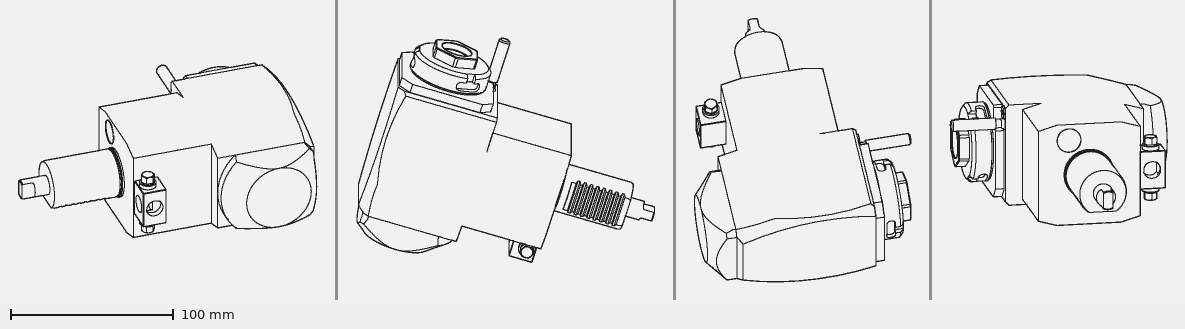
import cadquery as cq
import math


HALF_HEIGHT = 32.0
REAR_Y = 114.7
HEAD_FRONT_Y = 50.8
HEAD_LEFT_X = -42.3
HEAD_RIGHT_X = 44.0
HEAD_EDGE_CHAMFER = 2.1
STEM_LEFT_X = -31.7
STEM_RIGHT_X = 32.2
FLAT_HALF_WIDTH = 20.0
HOUSING_TAPER = 16.0
REAR_CORNER_X = 3.2
REAR_CORNER_Y = 3.9
REAR_CONE_RADIUS = 123.9
REAR_CONE_X = -10.6
REAR_CHAMFER_MIN = 2.1
SPINDLE_Y = 84.6

PLUG_X = -12.4
PLUG_Z = 21.8
PLUG_RADIUS = 7.5
PLUG_DEPTH = 0.5

CAP_RADIUS = 33.8
CAP_RIGHT_X = 61.5
CAP_CONE_LENGTH = 11.2
CAP_CONE_DROP = 12.7
CAP_REAR_Y = 110.8
CAP_FLAT_HALF_HEIGHT = 25.1
CAP_END_HALF_HEIGHT = 21.0
CAP_TAPER_X = 46.0

PLATE_LEFT_X = -47.8
PLATE_HALF_WIDTH = 29.4
PLATE_CORNER = 6.9
NUT_RADIUS = 24.5
NUT_LEFT_X = -61.0
NUT_CHAMFER = 2.1
NUT_NECK_RADIUS = 23.7
NUT_NECK_LENGTH = 1.0
HOOK_COUNT = 3
HOOK_SLOT_FLOOR = 20.7
HOOK_NOTCH_FLOOR = 21.8
HOOK_SLOT_WIDTH = 5.5
HOOK_SLOT_LENGTH = 17.0
HOOK_SLOT_X = -53.1
HOOK_NOTCH_WIDTH = 5.8
HEX_LEFT_X = -67.6
HEX_ACROSS_FLATS = 26.9
HEX_CORNER_RADIUS = 15.0
HEX_CHAMFER = 0.5
HEX_BORE_RADIUS = 9.4
HEX_BORE_DEPTH = 4.5
HEX_BORE_CHAMFER = 0.4

PIN_Y = 56.1
PIN_Z = 19.1
PIN_RADIUS = 3.5
PIN_LEFT_X = -75.4
PIN_CHAMFER = 0.9
PIN_NECK_RADIUS = 2.7
PIN_NECK_START_X = -47.8
PIN_NECK_END_X = -44.2
PIN_BASE_RADIUS = 4.0
PIN_SLOT_RADIUS = 4.6
SCREW_Z = 26.0
SCREW_RADIUS = 4.0
SCREW_HEIGHT = 0.9
SCREW_SOCKET = 3.2

SHANK_RADIUS = 15.0
SHANK_LENGTH = 45.1
SHANK_CHAMFER = 1.8
SHANK_CHAMFER_DEPTH = 0.5
COLLAR_RADIUS = 15.5
COLLAR_LENGTH = 1.6
COLLAR_CHAMFER = 0.5
GROOVE_RADIUS = 14.7
GROOVE_END = 2.5
RACK_FLAT_Z = -11.9
RACK_FLAT_START = 7.0
TOOTH_PITCH = 4.0
TOOTH_COUNT = 8
FIRST_TOOTH_GAP = 11.3
TOOTH_DEPTH = 1.5
TOOTH_GAP_MOUTH = 2.8
TOOTH_GAP_FLOOR = 1.2
SPIGOT_RADIUS = 6.0
SPIGOT_LENGTH = 9.5
TANG_LENGTH = 7.6
TANG_WIDTH = 5.8
TANG_CHAMFER = 0.5
TANG_FILLET = 1.2

BLOCK_RIGHT_X = 48.1
BLOCK_FRONT_Y = 0.9
BLOCK_REAR_Y = 16.0
BLOCK_HALF_HEIGHT = 12.0
BLOCK_CHAMFER = 0.4
BLOCK_BORE_X = 39.8
BLOCK_BORE_RADIUS = 5.3
SIDE_BORE_FLOOR_X = 44.0
BOLT_Y = 6.7
BOLT_COLLAR_RADIUS = 5.1
BOLT_COLLAR_HEIGHT = 2.5
BOLT_NECK_RADIUS = 4.0
BOLT_NECK_HEIGHT = 0.9
BOLT_HEX_ACROSS_CORNERS = 8.5
BOLT_END_CHAMFER = 0.7
BOLT_HEX_HEIGHT = 4.6

OVERLAP = 0.9


def box(x0, x1, y0, y1, z0, z1):
    """Box between the given limits."""
    return cq.Workplane("XY").box(x1 - x0, y1 - y0, z1 - z0, centered=False).translate((x0, y0, z0))


def cylinder_x(x0, x1, y, z, radius):
    """Cylinder parallel to X."""
    return cq.Workplane("YZ", origin=(x0, y, z)).circle(radius).extrude(x1 - x0)


def revolve_x(points, y, z=0):
    """Solid of revolution about an axis parallel to X, from (x, radius) points."""
    profile = cq.Workplane("XY", origin=(0, y, z)).polyline(points).close()
    return profile.revolve(360, (0, 0, 0), (1, 0, 0))


def mirror_points_z(points):
    """Closed outline from its upper (x, z) half."""
    return points + [(x, -z) for x, z in reversed(points)]


def prism_y(upper_points, y0, y1):
    """Prism along Y whose (x, z) outline is symmetric about Z = 0."""
    outline = cq.Workplane("XZ", origin=(0, y1, 0)).polyline(mirror_points_z(upper_points))
    return outline.close().extrude(y1 - y0)


def taper_height(x):
    """Half height of the housing where its upper and lower faces slope down."""
    return HALF_HEIGHT - (abs(x) - FLAT_HALF_WIDTH) * math.tan(math.radians(HOUSING_TAPER))


def make_housing():
    head = prism_y(
        [
            (HEAD_LEFT_X, HALF_HEIGHT - HEAD_EDGE_CHAMFER),
            (HEAD_LEFT_X + HEAD_EDGE_CHAMFER, HALF_HEIGHT),
            (FLAT_HALF_WIDTH, HALF_HEIGHT),
            (HEAD_RIGHT_X, taper_height(HEAD_RIGHT_X)),
        ],
        HEAD_FRONT_Y,
        REAR_Y,
    )
    corner = (
        cq.Workplane("XY", origin=(0, 0, -HALF_HEIGHT))
        .moveTo(HEAD_RIGHT_X, REAR_Y)
        .lineTo(HEAD_RIGHT_X - REAR_CORNER_X, REAR_Y)
        .lineTo(HEAD_RIGHT_X, REAR_Y - REAR_CORNER_Y)
        .close()
        .extrude(2 * HALF_HEIGHT)
    )
    head = head.cut(corner)

    cone_length = REAR_Y - HEAD_FRONT_Y
    cone_offset = REAR_CONE_RADIUS - (HALF_HEIGHT - REAR_CHAMFER_MIN)
    for side in (1, -1):
        cone = cq.Solid.makeCone(
            REAR_CONE_RADIUS,
            REAR_CONE_RADIUS + cone_length,
            cone_length,
            cq.Vector(REAR_CONE_X, REAR_Y, -side * cone_offset),
            cq.Vector(0, -1, 0),
        )
        head = head.intersect(cq.Workplane(cone))

    stem = prism_y(
        [
            (STEM_LEFT_X, taper_height(STEM_LEFT_X)),
            (-FLAT_HALF_WIDTH, HALF_HEIGHT),
            (FLAT_HALF_WIDTH, HALF_HEIGHT),
            (STEM_RIGHT_X, taper_height(STEM_RIGHT_X)),
        ],
        0,
        HEAD_FRONT_Y + OVERLAP,
    )
    plug = cq.Workplane("XZ", origin=(PLUG_X, PLUG_DEPTH, PLUG_Z)).circle(PLUG_RADIUS).extrude(PLUG_DEPTH)
    return head.union(stem).cut(plug)


def make_cap():
    start_x = HEAD_RIGHT_X - OVERLAP
    cone_x = CAP_RIGHT_X - CAP_CONE_LENGTH
    turned = revolve_x(
        [
            (start_x, 0),
            (start_x, CAP_RADIUS),
            (cone_x, CAP_RADIUS),
            (CAP_RIGHT_X, CAP_RADIUS - CAP_CONE_DROP),
            (CAP_RIGHT_X, 0),
        ],
        SPINDLE_Y,
    )
    envelope = prism_y(
        [
            (start_x, CAP_FLAT_HALF_HEIGHT),
            (CAP_TAPER_X, CAP_FLAT_HALF_HEIGHT),
            (CAP_RIGHT_X, CAP_END_HALF_HEIGHT),
        ],
        SPINDLE_Y - CAP_RADIUS,
        CAP_REAR_Y,
    )
    return turned.intersect(envelope)


def make_plate():
    plate_length = HEAD_LEFT_X + OVERLAP - PLATE_LEFT_X
    outline = cq.Workplane("YZ", origin=(PLATE_LEFT_X, SPINDLE_Y, 0))
    plate = outline.rect(2 * PLATE_HALF_WIDTH, 2 * PLATE_HALF_WIDTH).extrude(plate_length)
    plate = plate.edges("|X").chamfer(PLATE_CORNER)
    slot = cylinder_x(PLATE_LEFT_X, HEAD_LEFT_X, PIN_Y, PIN_Z, PIN_SLOT_RADIUS)
    slot = slot.union(
        box(
            PLATE_LEFT_X,
            HEAD_LEFT_X,
            PIN_Y - PIN_SLOT_RADIUS,
            PIN_Y + PIN_SLOT_RADIUS,
            PIN_Z,
            PLATE_HALF_WIDTH,
        )
    )
    return plate.cut(slot)


def make_nut():
    neck_x = PLATE_LEFT_X - NUT_NECK_LENGTH
    nut = revolve_x(
        [
            (NUT_LEFT_X, 0),
            (NUT_LEFT_X, NUT_RADIUS - NUT_CHAMFER),
            (NUT_LEFT_X + NUT_CHAMFER, NUT_RADIUS),
            (neck_x, NUT_RADIUS),
            (neck_x, NUT_NECK_RADIUS),
            (PLATE_LEFT_X + OVERLAP, NUT_NECK_RADIUS),
            (PLATE_LEFT_X + OVERLAP, 0),
        ],
        SPINDLE_Y,
    )
    slot_depth = NUT_RADIUS - HOOK_SLOT_FLOOR
    notch_depth = NUT_RADIUS - HOOK_NOTCH_FLOOR
    top = cq.Workplane("XZ", origin=(0, SPINDLE_Y + NUT_RADIUS, 0))
    slot = top.center(HOOK_SLOT_X, 0).slot2D(HOOK_SLOT_LENGTH, HOOK_SLOT_WIDTH, 90).extrude(slot_depth)
    notch_length = HOOK_SLOT_X - NUT_LEFT_X
    notch_x = NUT_LEFT_X + notch_length / 2
    notch = top.center(notch_x, 0).rect(notch_length, HOOK_NOTCH_WIDTH).extrude(notch_depth)
    hook = slot.union(notch)
    for index in range(HOOK_COUNT):
        angle = index * 360 / HOOK_COUNT
        nut = nut.cut(hook.rotate((0, SPINDLE_Y, 0), (1, SPINDLE_Y, 0), angle))
    return nut


def make_hex():
    across_corners = HEX_ACROSS_FLATS / math.cos(math.pi / 6)
    length = NUT_LEFT_X + OVERLAP - HEX_LEFT_X
    face = cq.Workplane("YZ", origin=(HEX_LEFT_X, SPINDLE_Y, 0))
    prism = face.transformed(rotate=(0, 0, 90)).polygon(6, across_corners).extrude(length)
    prism = prism.intersect(face.circle(HEX_CORNER_RADIUS).extrude(length))
    return prism.faces("<X").edges().chamfer(HEX_CHAMFER)


def make_hex_bore():
    """Blind bore with a bevel at its mouth and at its floor."""
    floor_x = HEX_LEFT_X + HEX_BORE_DEPTH
    return revolve_x(
        [
            (HEX_LEFT_X, 0),
            (HEX_LEFT_X, HEX_BORE_RADIUS + HEX_BORE_CHAMFER),
            (HEX_LEFT_X + HEX_BORE_CHAMFER, HEX_BORE_RADIUS),
            (floor_x - HEX_BORE_CHAMFER, HEX_BORE_RADIUS),
            (floor_x, HEX_BORE_RADIUS - HEX_BORE_CHAMFER),
            (floor_x, 0),
        ],
        SPINDLE_Y,
    )


def make_pin():
    return revolve_x(
        [
            (PIN_LEFT_X, 0),
            (PIN_LEFT_X, PIN_RADIUS - PIN_CHAMFER),
            (PIN_LEFT_X + PIN_CHAMFER, PIN_RADIUS),
            (PIN_NECK_START_X, PIN_RADIUS),
            (PIN_NECK_START_X, PIN_NECK_RADIUS),
            (PIN_NECK_END_X, PIN_NECK_RADIUS),
            (HEAD_LEFT_X, PIN_BASE_RADIUS),
            (HEAD_LEFT_X + OVERLAP, PIN_BASE_RADIUS),
            (HEAD_LEFT_X + OVERLAP, 0),
        ],
        PIN_Y,
        PIN_Z,
    )


def make_screw():
    left_x = HEAD_LEFT_X - SCREW_HEIGHT
    head = cylinder_x(left_x, HEAD_LEFT_X + OVERLAP, PIN_Y, SCREW_Z, SCREW_RADIUS)
    face = cq.Workplane("YZ", origin=(left_x, PIN_Y, SCREW_Z))
    socket = face.polygon(6, SCREW_SOCKET).extrude(SCREW_HEIGHT)
    return head.cut(socket)


def make_shank():
    spigot_end = SHANK_LENGTH + SPIGOT_LENGTH
    tang_end = spigot_end + TANG_LENGTH
    profile = [
        (0, -OVERLAP),
        (COLLAR_RADIUS, -OVERLAP),
        (COLLAR_RADIUS, COLLAR_LENGTH - COLLAR_CHAMFER),
        (COLLAR_RADIUS - COLLAR_CHAMFER, COLLAR_LENGTH),
        (GROOVE_RADIUS, COLLAR_LENGTH),
        (GROOVE_RADIUS, GROOVE_END),
        (SHANK_RADIUS, GROOVE_END),
        (SHANK_RADIUS, SHANK_LENGTH - SHANK_CHAMFER),
        (SHANK_RADIUS - SHANK_CHAMFER_DEPTH, SHANK_LENGTH),
        (SPIGOT_RADIUS, SHANK_LENGTH),
        (SPIGOT_RADIUS, tang_end - TANG_CHAMFER),
        (SPIGOT_RADIUS - TANG_CHAMFER, tang_end),
        (0, tang_end),
    ]
    outline = cq.Workplane("XY").polyline([(radius, -distance) for radius, distance in profile])
    shank = outline.close().revolve(360, (0, 0, 0), (0, 1, 0))

    shank = shank.cut(
        box(-SHANK_RADIUS, SHANK_RADIUS, -SHANK_LENGTH, -RACK_FLAT_START, -COLLAR_RADIUS, RACK_FLAT_Z)
    )
    for index in range(TOOTH_COUNT):
        gap_y = -(FIRST_TOOTH_GAP + index * TOOTH_PITCH)
        gap = (
            cq.Workplane("YZ", origin=(-SHANK_RADIUS, gap_y, RACK_FLAT_Z))
            .moveTo(-TOOTH_GAP_MOUTH / 2, 0)
            .lineTo(-TOOTH_GAP_FLOOR / 2, TOOTH_DEPTH)
            .lineTo(TOOTH_GAP_FLOOR / 2, TOOTH_DEPTH)
            .lineTo(TOOTH_GAP_MOUTH / 2, 0)
            .close()
            .extrude(2 * SHANK_RADIUS)
        )
        shank = shank.cut(gap)

    for side in (1, -1):
        inner_x = side * TANG_WIDTH / 2
        outer_x = side * 2 * SPIGOT_RADIUS
        side_cut = box(
            min(inner_x, outer_x),
            max(inner_x, outer_x),
            -tang_end,
            -spigot_end,
            -SPIGOT_RADIUS,
            SPIGOT_RADIUS,
        )
        root = cq.selectors.NearestToPointSelector((inner_x, -spigot_end, 0))
        shank = shank.cut(side_cut.edges(root).fillet(TANG_FILLET))
    return shank


def make_block():
    block = box(
        STEM_RIGHT_X - OVERLAP,
        BLOCK_RIGHT_X,
        BLOCK_FRONT_Y,
        BLOCK_REAR_Y,
        -BLOCK_HALF_HEIGHT,
        BLOCK_HALF_HEIGHT,
    )
    block = block.edges("|X or >X").chamfer(BLOCK_CHAMFER)

    middle_y = (BLOCK_FRONT_Y + BLOCK_REAR_Y) / 2
    front_bore = (
        cq.Workplane("XZ", origin=(BLOCK_BORE_X, middle_y, 0))
        .circle(BLOCK_BORE_RADIUS)
        .extrude(middle_y - BLOCK_FRONT_Y)
    )
    side_bore = cylinder_x(SIDE_BORE_FLOOR_X, BLOCK_RIGHT_X, middle_y, 0, BLOCK_BORE_RADIUS)
    block = block.cut(front_bore).cut(side_bore)

    bolt = make_bolt()
    return block.union(bolt).union(bolt.mirror("XY"))


def make_bolt():
    """Bolt head on the top of the coolant block: collar, neck and hexagon with a bevelled end."""
    neck_z = BLOCK_HALF_HEIGHT + BOLT_COLLAR_HEIGHT
    hex_z = neck_z + BOLT_NECK_HEIGHT
    base = cq.Workplane("XY", origin=(BLOCK_BORE_X, BOLT_Y, BLOCK_HALF_HEIGHT - OVERLAP))
    collar = base.circle(BOLT_COLLAR_RADIUS).extrude(BOLT_COLLAR_HEIGHT + OVERLAP)
    neck = cq.Workplane("XY", origin=(BLOCK_BORE_X, BOLT_Y, neck_z)).circle(BOLT_NECK_RADIUS)
    neck = neck.extrude(BOLT_NECK_HEIGHT)
    hex_base = cq.Workplane("XY", origin=(BLOCK_BORE_X, BOLT_Y, hex_z))
    head = hex_base.transformed(rotate=(0, 0, 90)).polygon(6, BOLT_HEX_ACROSS_CORNERS)
    head = head.extrude(BOLT_HEX_HEIGHT)
    bevelled = hex_base.circle(BOLT_HEX_ACROSS_CORNERS / 2).extrude(BOLT_HEX_HEIGHT)
    bevelled = bevelled.faces(">Z").edges().chamfer(BOLT_END_CHAMFER)
    return collar.union(neck).union(head.intersect(bevelled))


result = (
    make_housing()
    .union(make_cap())
    .union(make_plate())
    .union(make_nut())
    .union(make_hex())
    .cut(make_hex_bore())
    .union(make_pin())
    .union(make_screw())
    .union(make_shank())
    .union(make_block())
)